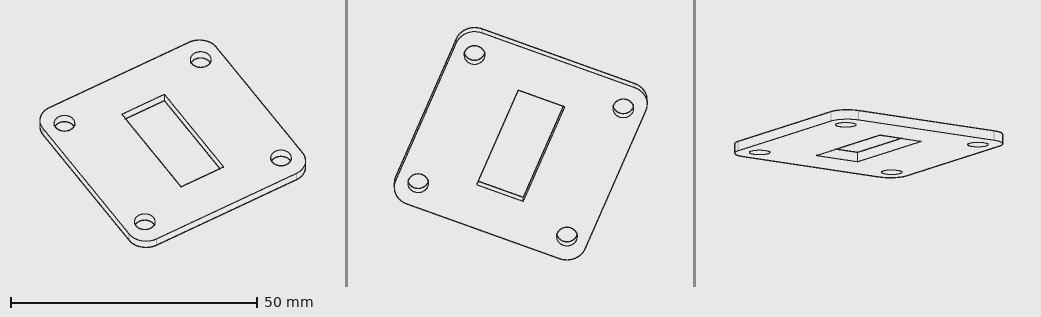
import cadquery as cq

side = 41.4
thickness = 2.0
corner_radius = 4.0

window_length = 22.85
window_width = 10.15

hole_diameter = 4.2
hole_spacing_x = 31.0
hole_spacing_y = 32.5

plate = cq.Workplane("XY").box(side, side, thickness).edges("|Z").fillet(corner_radius)

windowed_plate = plate.faces(">Z").workplane().rect(window_length, window_width).cutThruAll()

result = (
    windowed_plate.faces(">Z")
    .workplane()
    .rect(hole_spacing_x, hole_spacing_y, forConstruction=True)
    .vertices()
    .hole(hole_diameter)
)